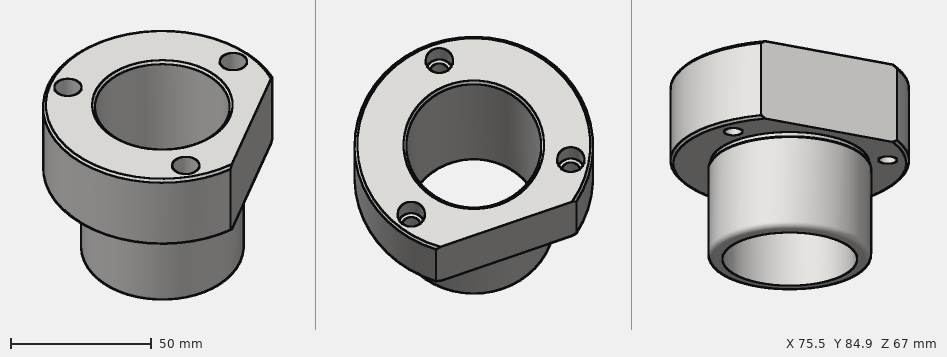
import cadquery as cq

flange_diameter = 84.9
flange_height = 30.0
flange_chamfer = 1.0
flat_distance = 33.0

total_height = 67.0
spigot_diameter = 58.0
spigot_height = total_height - flange_height
spigot_top_chamfer = 0.5
spigot_bottom_fillet = 2.0
groove_diameter = 56.7
groove_height = 1.7

bore_diameter = 47.95
bore_chamfer = 1.0

hole_count = 3
hole_circle_radius = 35.0
hole_diameter = 6.6
counterbore_diameter = 9.7
counterbore_depth = 10.0
first_hole_angle = 180.0


def make_flange():
    """Chamfered disc with one side cut flat after chamfering."""
    disc = (
        cq.Workplane("XY", origin=(0, 0, spigot_height))
        .circle(flange_diameter / 2)
        .extrude(flange_height)
        .edges()
        .chamfer(flange_chamfer)
    )
    cutter = (
        cq.Workplane("XY")
        .box(flange_diameter, flange_diameter, total_height, centered=(False, True, False))
        .translate((flat_distance, 0, 0))
    )
    return disc.cut(cutter)


def make_spigot():
    """Cylinder with a rounded lower rim and a relief groove at its top."""
    spigot = (
        cq.Workplane("XY")
        .circle(spigot_diameter / 2)
        .extrude(spigot_height - groove_height)
        .edges(">Z")
        .chamfer(spigot_top_chamfer)
        .edges("<Z")
        .fillet(spigot_bottom_fillet)
    )
    groove_core = (
        cq.Workplane("XY", origin=(0, 0, spigot_height - groove_height))
        .circle(groove_diameter / 2)
        .extrude(groove_height)
    )
    return spigot.union(groove_core)


def make_bore():
    """Through bore widened by a chamfer at the top face."""
    bore_radius = bore_diameter / 2
    chamfer_radius = bore_radius + bore_chamfer
    return (
        cq.Workplane("XZ")
        .moveTo(0, 0)
        .lineTo(bore_radius, 0)
        .lineTo(bore_radius, total_height - bore_chamfer)
        .lineTo(chamfer_radius, total_height)
        .lineTo(0, total_height)
        .close()
        .revolve(360, (0, 0, 0), (0, 1, 0))
    )


result = make_flange().union(make_spigot()).cut(make_bore())
result = (
    result.faces(">Z")
    .workplane(origin=(0, 0, total_height))
    .polarArray(hole_circle_radius, first_hole_angle, 360, hole_count)
    .cboreHole(hole_diameter, counterbore_diameter, counterbore_depth)
)